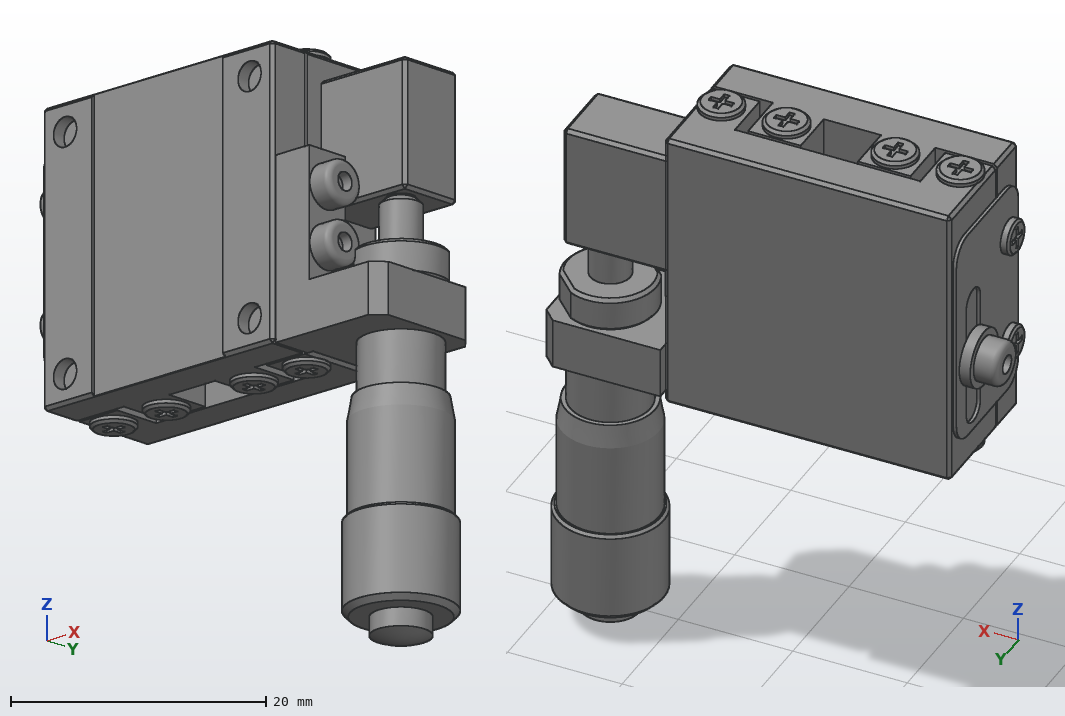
import cadquery as cq
import math

STAGE_SIZE = 25.0
STAGE_DEPTH = 12.0
EDGE_CHAMFER = 0.3
HALF_SIZE = STAGE_SIZE / 2
HALF_DEPTH = STAGE_DEPTH / 2
FULL_HEIGHT = (-HALF_SIZE, HALF_SIZE)

RUNNING_GAP = 0.3
LEG_END_Y = -2.05
SLAB_BACK_Y = LEG_END_Y - RUNNING_GAP
RIB_END_Y = 2.05
BASE_FLOOR_Y = RIB_END_Y + RUNNING_GAP
RIB_INNER_X = 2.5
RIB_OUTER_X = 7.1
LEG_INNER_X = 8.1
FACE_RELIEF = 0.25
MOUNT_HOLE_DIAMETER = 2.5
MOUNT_HOLE_PITCH = 20.0
MOUNT_HOLE_DEPTH = 1.2

RAIL_SCREW_DIAMETER = 3.8
RAIL_SCREW_HEIGHT = 0.55
RAIL_SCREW_CHAMFER = 0.25
RAIL_SCREW_CROSS = (2.0, 0.45)
CARRIAGE_SCREW_X = 4.75
BASE_SCREW_X = 10.45
PLATE_SCREW_DIAMETER = 3.0
PLATE_SCREW_HEIGHT = 0.75
PLATE_SCREW_CHAMFER = 0.2
PLATE_SCREW_CROSS = (1.8, 0.35)
PLATE_SCREW_Y = -3.8
PLATE_SCREW_PITCH = 10.0
CROSS_DEPTH = 0.3

PLATE_THICKNESS = 0.3
PLATE_WIDTH = 11.0
PLATE_HEIGHT = 19.0
PLATE_CORNER_RADIUS = 2.0
PLATE_OUTER_X = -HALF_SIZE - PLATE_THICKNESS
CLAMP_Y = 2.5
CLAMP_Z = -2.5
SLOT_WIDTH = 2.5
SLOT_LENGTH = 12.5
CLAMP_SHANK_DIAMETER = 2.0
WASHER_DIAMETER = 5.0
WASHER_THICKNESS = 0.95

CAP_DIAMETER = 3.8
CAP_HEIGHT = 2.0
CAP_FILLET = 0.5
SOCKET_DIAMETER = 1.57
SOCKET_DEPTH = 1.0

STOP_END_X = 21.6
STOP_Y = (-0.5, 5.5)
STOP_Z = (-0.5, 10.4)

BRACKET_END_X = 23.65
BRACKET_Y = (-5.65, 5.35)
BRACKET_TOP_Z = 3.0
COLUMN_END_X = 16.15
COLUMN_BACK_Y = -1.6
FOOT_TOP_Z = -8.1
FOOT_CORNER_CHAMFER = 1.1
BASE_CLEARANCE = 0.65
BRACKET_SCREW_Y = -3.7
BRACKET_SCREW_Z = (0.0, -5.0)

MICROMETER_X = 19.55
MICROMETER_Y = 1.2
TIP_DIAMETER = 2.3
TIP_LENGTH = 0.15
SPINDLE_DIAMETER = 3.5
SPINDLE_CHAMFER = 0.5
NUT_DIAMETER = 8.0
NUT_ACROSS_FLATS = 7.5
NUT_CHAMFER = 0.3
NUT_HEIGHT = 3.0
SHANK_DIAMETER = 6.0
SLEEVE_DIAMETER = 7.0
CONE_DIAMETER = 7.8
THIMBLE_DIAMETER = 8.5
KNURL_DIAMETER = 9.3
KNURL_TOP_CHAMFER = 0.25
KNURL_BOTTOM_CHAMFER = 0.5
KNOB_DIAMETER = 5.0
CONE_TOP_Z = -17.05
CONE_BOTTOM_Z = -19.0
KNURL_TOP_Z = -27.1
KNURL_BOTTOM_Z = -35.15
KNOB_EDGE_Z = -36.7
KNOB_END_Z = -37.25


def block(x_range, y_range, z_range):
    """Box that spans the given (low, high) ranges."""
    lows, highs = zip(x_range, y_range, z_range)
    lengths = [high - low for low, high in zip(lows, highs)]
    return cq.Workplane("XY").box(*lengths, centered=False).translate(lows)


def face_left(screw):
    """Turn a part built along +Z so that it points along -X."""
    return screw.rotate((0, 0, 0), (0, 1, 0), -90)


def face_right(screw):
    """Turn a part built along +Z so that it points along +X."""
    return screw.rotate((0, 0, 0), (0, 1, 0), 90)


def cross_head(diameter, height, chamfer, cross):
    """Flat screw head standing on the XY plane, with a cross recess on top."""
    arm_length, arm_width = cross
    recess = (
        cq.Workplane("XY")
        .workplane(offset=height - CROSS_DEPTH)
        .rect(arm_length, arm_width)
        .extrude(CROSS_DEPTH)
    )
    recess = recess.union(recess.rotate((0, 0, 0), (0, 0, 1), 90))
    head = cq.Workplane("XY").circle(diameter / 2).extrude(height)
    return head.faces(">Z").edges().chamfer(chamfer).cut(recess)


def cap_head():
    """Socket cap screw head standing on the XY plane."""
    head = cq.Workplane("XY").circle(CAP_DIAMETER / 2).extrude(CAP_HEIGHT)
    head = head.faces(">Z").edges().fillet(CAP_FILLET)
    return head.faces(">Z").workplane().hole(SOCKET_DIAMETER, SOCKET_DEPTH)


def rail_screws(x_offset):
    """Four rail screw heads at +/- x_offset, on the top and bottom of the stage."""
    head = cross_head(RAIL_SCREW_DIAMETER, RAIL_SCREW_HEIGHT, RAIL_SCREW_CHAMFER, RAIL_SCREW_CROSS)
    pair = head.translate((-x_offset, 0, HALF_SIZE)).union(head.translate((x_offset, 0, HALF_SIZE)))
    return pair.union(pair.mirror("XY"))


def envelope():
    """Chamfered block that encloses the carriage and the base."""
    return cq.Workplane("XY").box(STAGE_SIZE, STAGE_DEPTH, STAGE_SIZE).edges().chamfer(EDGE_CHAMFER)


def make_base():
    """Rear slide with two legs, the stop block and the clamp screw."""
    plate = block((-HALF_SIZE, HALF_SIZE), (LEG_END_Y, HALF_DEPTH), FULL_HEIGHT)
    channel = block((-LEG_INNER_X, LEG_INNER_X), (LEG_END_Y, BASE_FLOOR_Y), FULL_HEIGHT)
    body = envelope().intersect(plate.cut(channel))

    stop = block((HALF_SIZE, STOP_END_X), STOP_Y, STOP_Z)
    stop = stop.edges("not <X").chamfer(EDGE_CHAMFER)
    body = body.union(stop).union(rail_screws(BASE_SCREW_X))

    shank = cq.Workplane("XY").circle(CLAMP_SHANK_DIAMETER / 2).extrude(PLATE_THICKNESS)
    washer = cq.Workplane("XY").circle(WASHER_DIAMETER / 2).extrude(WASHER_THICKNESS)
    clamp = shank.union(washer.translate((0, 0, PLATE_THICKNESS)))
    clamp = clamp.union(cap_head().translate((0, 0, PLATE_THICKNESS + WASHER_THICKNESS)))
    return body.union(face_left(clamp).translate((-HALF_SIZE, CLAMP_Y, CLAMP_Z)))


def make_side_plate():
    """Thin slotted plate on the left side, held by two screws."""
    plate = cq.Workplane("XY").box(PLATE_THICKNESS, PLATE_WIDTH, PLATE_HEIGHT)
    plate = plate.edges("|X").fillet(PLATE_CORNER_RADIUS)
    plate = plate.translate((-HALF_SIZE - PLATE_THICKNESS / 2, 0, 0))
    slot = (
        cq.Workplane("YZ", origin=(PLATE_OUTER_X, CLAMP_Y, CLAMP_Z))
        .slot2D(SLOT_LENGTH, SLOT_WIDTH, 90)
        .extrude(PLATE_THICKNESS)
    )
    plate = plate.cut(slot)
    head = cross_head(PLATE_SCREW_DIAMETER, PLATE_SCREW_HEIGHT, PLATE_SCREW_CHAMFER, PLATE_SCREW_CROSS)
    head = face_left(head)
    for z in (-PLATE_SCREW_PITCH / 2, PLATE_SCREW_PITCH / 2):
        plate = plate.union(head.translate((PLATE_OUTER_X, PLATE_SCREW_Y, z)))
    return plate


def bracket_screw(z):
    """Cap screw head on the right side of the bracket column."""
    return face_right(cap_head()).translate((COLUMN_END_X, BRACKET_SCREW_Y, z))


def make_bracket():
    """L-shaped micrometer bracket with its two cap screws."""
    y_front, y_back = BRACKET_Y
    foot = block((HALF_SIZE, BRACKET_END_X), BRACKET_Y, (-HALF_SIZE, FOOT_TOP_Z))
    foot = foot.edges("|Z and >X").chamfer(FOOT_CORNER_CHAMFER)
    column = block((HALF_SIZE, COLUMN_END_X), (y_front, COLUMN_BACK_Y), (-HALF_SIZE, BRACKET_TOP_Z))
    relief = block((HALF_SIZE, HALF_SIZE + BASE_CLEARANCE), (LEG_END_Y, y_back), FULL_HEIGHT)
    bore = (
        cq.Workplane("XY", origin=(MICROMETER_X, MICROMETER_Y, -HALF_SIZE))
        .circle(SHANK_DIAMETER / 2)
        .extrude(STAGE_SIZE)
    )
    bracket = foot.union(column).cut(relief).cut(bore)
    for z in BRACKET_SCREW_Z:
        bracket = bracket.union(bracket_screw(z))
    return bracket


def make_carriage():
    """Front slide with two ribs, the side plate and the micrometer bracket."""
    body = block((-HALF_SIZE, HALF_SIZE), (-HALF_DEPTH, SLAB_BACK_Y), FULL_HEIGHT)
    ribs = block((-RIB_OUTER_X, RIB_OUTER_X), (SLAB_BACK_Y, RIB_END_Y), FULL_HEIGHT)
    channel = block((-RIB_INNER_X, RIB_INNER_X), (LEG_END_Y, RIB_END_Y), FULL_HEIGHT)
    relief = block((-RIB_OUTER_X, RIB_OUTER_X), (-HALF_DEPTH, FACE_RELIEF - HALF_DEPTH), FULL_HEIGHT)
    body = envelope().intersect(body.union(ribs).cut(channel).cut(relief))

    holes = (
        cq.Workplane("XZ", origin=(0, MOUNT_HOLE_DEPTH - HALF_DEPTH, 0))
        .rect(MOUNT_HOLE_PITCH, MOUNT_HOLE_PITCH, forConstruction=True)
        .vertices()
        .circle(MOUNT_HOLE_DIAMETER / 2)
        .extrude(MOUNT_HOLE_DEPTH)
    )
    body = body.cut(holes)
    return body.union(rail_screws(CARRIAGE_SCREW_X)).union(make_side_plate()).union(make_bracket())


def make_micrometer():
    """Micrometer head: spindle against the stop block, lock nut, sleeve, thimble and knob."""
    tip = TIP_DIAMETER / 2
    spindle = SPINDLE_DIAMETER / 2
    shank = SHANK_DIAMETER / 2
    sleeve = SLEEVE_DIAMETER / 2
    thimble = THIMBLE_DIAMETER / 2
    knurl = KNURL_DIAMETER / 2
    knob = KNOB_DIAMETER / 2
    tip_end_z = STOP_Z[0]
    spindle_top_z = tip_end_z - TIP_LENGTH
    dome_rise = KNOB_EDGE_Z - KNOB_END_Z
    dome_radius = (knob**2 + dome_rise**2) / (2 * dome_rise)
    half_angle = math.asin(knob / dome_radius) / 2
    dome_middle = (
        dome_radius * math.sin(half_angle),
        KNOB_END_Z + dome_radius * (1 - math.cos(half_angle)),
    )
    head = (
        cq.Workplane("XZ")
        .moveTo(0, tip_end_z)
        .lineTo(tip, tip_end_z)
        .lineTo(tip, spindle_top_z)
        .lineTo(spindle - SPINDLE_CHAMFER, spindle_top_z)
        .lineTo(spindle, spindle_top_z - SPINDLE_CHAMFER)
        .lineTo(spindle, FOOT_TOP_Z)
        .lineTo(shank, FOOT_TOP_Z)
        .lineTo(shank, -HALF_SIZE)
        .lineTo(sleeve, -HALF_SIZE)
        .lineTo(sleeve, CONE_TOP_Z)
        .lineTo(CONE_DIAMETER / 2, CONE_TOP_Z)
        .lineTo(thimble, CONE_BOTTOM_Z)
        .lineTo(thimble, KNURL_TOP_Z)
        .lineTo(knurl - KNURL_TOP_CHAMFER, KNURL_TOP_Z)
        .lineTo(knurl, KNURL_TOP_Z - KNURL_TOP_CHAMFER)
        .lineTo(knurl, KNURL_BOTTOM_Z + KNURL_BOTTOM_CHAMFER)
        .lineTo(knurl - KNURL_BOTTOM_CHAMFER, KNURL_BOTTOM_Z)
        .lineTo(knob, KNURL_BOTTOM_Z)
        .lineTo(knob, KNOB_EDGE_Z)
        .threePointArc(dome_middle, (0, KNOB_END_Z))
        .close()
        .revolve(360, (0, 0), (0, 1))
    )
    flats = (
        cq.Workplane("XY")
        .rect(NUT_ACROSS_FLATS, NUT_DIAMETER)
        .extrude(NUT_HEIGHT)
        .edges("|Y")
        .chamfer(NUT_CHAMFER)
        .rotate((0, 0, 0), (0, 0, 1), 45)
    )
    nut = cq.Workplane("XY").circle(NUT_DIAMETER / 2).extrude(NUT_HEIGHT)
    nut = nut.edges().chamfer(NUT_CHAMFER).intersect(flats)
    head = head.union(nut.translate((0, 0, FOOT_TOP_Z))).translate((MICROMETER_X, MICROMETER_Y, 0))

    return head.cut(bracket_screw(min(BRACKET_SCREW_Z)))


base = make_base()
carriage = make_carriage()
micrometer = make_micrometer()
result = cq.Compound.makeCompound([base.val(), carriage.val(), micrometer.val()])